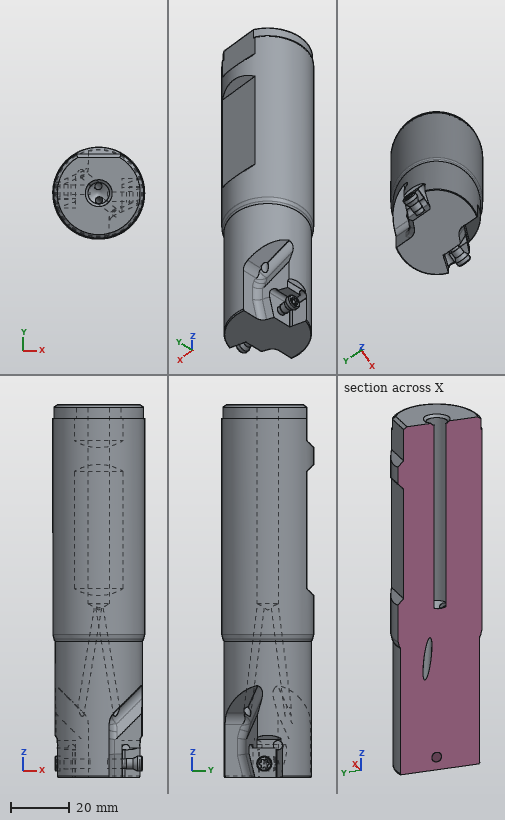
import cadquery as cq
import math

total_height = 128.57
shank_radius = 15.875
shank_top_radius = 15.5
shank_top_length = 4.8
top_chamfer_width = 1.2
top_chamfer_height = 0.9
neck_radius = 15.1
neck_height = 47.0
shoulder_groove_radius = 15.5
shoulder_groove_height = 47.8
shoulder_height = 49.35
bottom_chamfer_width = 0.25
bottom_chamfer_height = 0.6

flat_y = 13.5
flat_depth = shank_radius - flat_y
rib_top_height = total_height - 14.8
rib_bottom_height = total_height - 20.6
lower_flat_end_height = total_height - 65.8

bore_diameter = 7.4
bore_mouth_diameter = 9.3
bore_bottom_height = 60.0
drill_point_half_angle = 59.0
branch_diameter = 2.5
branch_start = cq.Vector(0, -2.3, bore_bottom_height)
branch_exit = cq.Vector(6.6, -7.3, 20.4)
branch_overrun = 1.15

reach = 30.0
gullet_floor_x = 3.6
gullet_corner_y = -8.4
gullet_wall_angle = 24.0
gullet_corner_radius = 3.2
runout_offset = 17.1
bend_offset = 7.3
runout_wall_lean = 20.0
runout_wall_radius = 3.2
runout_floor_radius = 5.6
lower_wall_height = 8.0
lower_wall_tilt = 14.0

seat_x = 8.0
seat_height = 10.2
seat_wall_y = 2.9
seat_wall_angle = 19.0
wall_undercut_radius = 0.85
wall_undercut_y = 2.4
corner_relief_radius = 1.6
corner_relief_y = 3.5
corner_relief_z = 11.2
top_undercut_radius = 1.3
ledge_x = 14.2
ledge_height = 13.2
ledge_ramp_height = 14.6
ledge_back_y = 4.6

screw_y = -1.2
screw_z = 4.8
screw_thread_radius = 1.65
screw_shank_radius = 1.85
screw_inner_end_x = 3.0
screw_shank_start_x = 9.5
screw_cone_start_x = 11.9
screw_head_start_x = 13.4
screw_head_radius = 2.6
screw_head_chamfer = 0.35
screw_outer_end_x = neck_radius
socket_core_radius = 1.2
socket_lobe_radius = 0.45
socket_lobes = 6
socket_depth = 1.0


def vertical_prism(points, bottom, top):
    return cq.Workplane("XY").workplane(offset=bottom).polyline(points).close().extrude(top - bottom)


def prism_along_y(points, y_start, y_end):
    """Prism of an (x, z) outline between two Y values."""
    outline = cq.Workplane("XZ", origin=(0, y_start, 0)).polyline(points).close()
    return outline.extrude(y_start - y_end)


def cylinder_along(direction, start, radius, length):
    plane = cq.Plane(origin=start, normal=direction)
    return cq.Workplane(plane).circle(radius).extrude(length)


def both_sides(shape):
    """The shape and its copy turned half a turn about the holder axis."""
    return [shape.rotate((0, 0, 0), (0, 0, 1), turn) for turn in (0, 180)]


def turned_blank():
    shank_top_start = total_height - shank_top_length
    profile = [
        (0, 0),
        (neck_radius - bottom_chamfer_width, 0),
        (neck_radius, bottom_chamfer_height),
        (neck_radius, neck_height),
        (shoulder_groove_radius, shoulder_groove_height),
        (shank_radius, shoulder_height),
        (shank_radius, shank_top_start),
        (shank_top_radius, shank_top_start),
        (shank_top_radius, total_height - top_chamfer_height),
        (shank_top_radius - top_chamfer_width, total_height),
        (0, total_height),
    ]
    return cq.Workplane("XZ").polyline(profile).close().revolve(360, (0, 0, 0), (0, 1, 0))


def clamping_flats():
    """Two flats with 45 degree ends, and the bevel where the upper one meets the end face."""
    outer_y = flat_y + flat_depth
    upper = [
        (flat_y, total_height - top_chamfer_height),
        (flat_y, rib_top_height + flat_depth),
        (outer_y, rib_top_height),
        (outer_y, total_height),
        (flat_y - top_chamfer_width, total_height),
    ]
    lower = [
        (outer_y, rib_bottom_height),
        (flat_y, rib_bottom_height - flat_depth),
        (flat_y, lower_flat_end_height + flat_depth),
        (outer_y, lower_flat_end_height),
    ]
    cuts = [
        cq.Workplane("YZ").polyline(points).close().extrude(shank_radius, both=True)
        for points in (upper, lower)
    ]
    return cuts[0].union(cuts[1])


def coolant_bore():
    radius = bore_diameter / 2
    mouth_radius = bore_mouth_diameter / 2
    point_length = radius / math.tan(math.radians(drill_point_half_angle))
    profile = [
        (0, bore_bottom_height - point_length),
        (radius, bore_bottom_height),
        (radius, total_height - (mouth_radius - radius)),
        (mouth_radius, total_height),
        (0, total_height),
    ]
    return cq.Workplane("XZ").polyline(profile).close().revolve(360, (0, 0, 0), (0, 1, 0))


def coolant_branch():
    path = branch_exit - branch_start
    length = path.Length * branch_overrun
    return cylinder_along(path, branch_start, branch_diameter / 2, length)


def gullet():
    slope = math.tan(math.radians(gullet_wall_angle))

    def wall_y(x):
        return gullet_corner_y + slope * (x - gullet_floor_x)

    def open_region(left_x):
        """Everything right of left_x and on the -Y side of the gullet wall."""
        points = [(left_x, -reach), (left_x, wall_y(left_x)), (reach, wall_y(reach)), (reach, -reach)]
        return vertical_prism(points, -reach, 2 * reach)

    corner_point = (gullet_floor_x, gullet_corner_y, 0)
    channel = open_region(gullet_floor_x)
    channel = channel.edges(cq.NearestToPointSelector(corner_point)).fillet(gullet_corner_radius)

    kink = cq.Vector(0, gullet_corner_y, lower_wall_height)
    lower_channel = channel.rotate(kink, kink + cq.Vector(1, 0, 0), lower_wall_tilt)

    floor_turn_height = gullet_floor_x + runout_offset
    floor_side = [
        (gullet_floor_x, -reach),
        (gullet_floor_x, floor_turn_height),
        (reach, reach + runout_offset),
        (reach, -reach),
    ]
    below_floor = prism_along_y(floor_side, -reach, reach)
    floor_turn = cq.NearestToPointSelector((gullet_floor_x, -reach / 2, floor_turn_height))
    rounded_floor = below_floor.edges(floor_turn).fillet(runout_floor_radius)

    wall_turn = math.radians(gullet_wall_angle)
    wall_normal = cq.Vector(math.sin(wall_turn), -math.cos(wall_turn), 0)
    bend_start = cq.Vector(gullet_floor_x, gullet_corner_y, gullet_floor_x + bend_offset)
    bend_line = cq.Vector(1, slope, 1).normalized()
    lean = math.radians(runout_wall_lean)
    up_wall = wall_normal.cross(bend_line) * math.cos(lean) - wall_normal * math.sin(lean)
    leaning_plane = cq.Plane(origin=bend_start, xDir=bend_line, normal=bend_line.cross(up_wall))
    runout = cq.Workplane(leaning_plane).rect(6 * reach, 6 * reach).extrude(2 * reach)
    runout = runout.intersect(below_floor)

    wall_edge_point = bend_start + up_wall * ((runout_offset - bend_offset) / (up_wall.z - up_wall.x))
    wall_edge = cq.NearestToPointSelector((wall_edge_point + bend_line * reach).toTuple())
    runout = runout.edges(wall_edge).fillet(runout_wall_radius)
    runout = runout.faces("<X").edges(">Y").fillet(gullet_corner_radius)
    runout = runout.intersect(rounded_floor)

    return channel.union(lower_channel).intersect(rounded_floor).union(runout)


def insert_seat():
    slope = math.tan(math.radians(seat_wall_angle))
    outer_x = shank_radius
    outline = [
        (seat_x, -neck_radius),
        (seat_x, seat_wall_y),
        (outer_x, seat_wall_y + slope * (outer_x - seat_x)),
        (outer_x, -neck_radius),
    ]
    pocket = vertical_prism(outline, 0, seat_height)

    ledge_side = [
        (ledge_x, 0),
        (ledge_x, ledge_height),
        (neck_radius, ledge_ramp_height),
        (outer_x, ledge_ramp_height),
        (outer_x, 0),
    ]
    ledge = prism_along_y(ledge_side, -neck_radius, ledge_back_y)

    wall_undercut = cylinder_along(
        (0, 0, 1), (seat_x + wall_undercut_radius, wall_undercut_y, 0), wall_undercut_radius, seat_height
    )
    top_undercut = cylinder_along(
        (0, 1, 0), (seat_x + top_undercut_radius, -neck_radius, seat_height),
        top_undercut_radius, neck_radius + seat_wall_y,
    )
    corner_relief = cylinder_along(
        (1, 0, 0), (seat_x, corner_relief_y, corner_relief_z), corner_relief_radius, outer_x - seat_x
    )
    for cut in (ledge, wall_undercut, top_undercut, corner_relief):
        pocket = pocket.union(cut)
    return pocket


def screw_hole():
    start = (screw_inner_end_x, screw_y, screw_z)
    return cylinder_along((1, 0, 0), start, screw_thread_radius, seat_x - screw_inner_end_x)


def build_holder():
    body = turned_blank().cut(clamping_flats()).cut(coolant_bore())
    for feature in (gullet(), insert_seat(), screw_hole(), coolant_branch()):
        for cut in both_sides(feature):
            body = body.cut(cut)
    return body


def build_screw():
    """Screw of the +X seat: thread, shank, conical neck, chamfered head with a six-lobe socket."""
    profile = [
        (screw_inner_end_x, 0),
        (screw_inner_end_x, screw_thread_radius),
        (screw_shank_start_x, screw_thread_radius),
        (screw_shank_start_x, screw_shank_radius),
        (screw_cone_start_x, screw_shank_radius),
        (screw_head_start_x, screw_head_radius),
        (screw_outer_end_x - screw_head_chamfer, screw_head_radius),
        (screw_outer_end_x, screw_head_radius - screw_head_chamfer),
        (screw_outer_end_x, 0),
    ]
    body = cq.Workplane("XY").polyline(profile).close().revolve(360, (0, 0, 0), (1, 0, 0))
    socket_plane = cq.Workplane("YZ", origin=(screw_outer_end_x - socket_depth, 0, 0))
    socket = socket_plane.circle(socket_core_radius).extrude(socket_depth)
    lobes = socket_plane.polarArray(socket_core_radius, 0, 360, socket_lobes)
    socket = socket.union(lobes.circle(socket_lobe_radius).extrude(socket_depth))
    return body.cut(socket).translate((0, screw_y, screw_z))


holder = build_holder()
screws = both_sides(build_screw())
result = cq.Compound.makeCompound([holder.val(), *[screw.val() for screw in screws]])